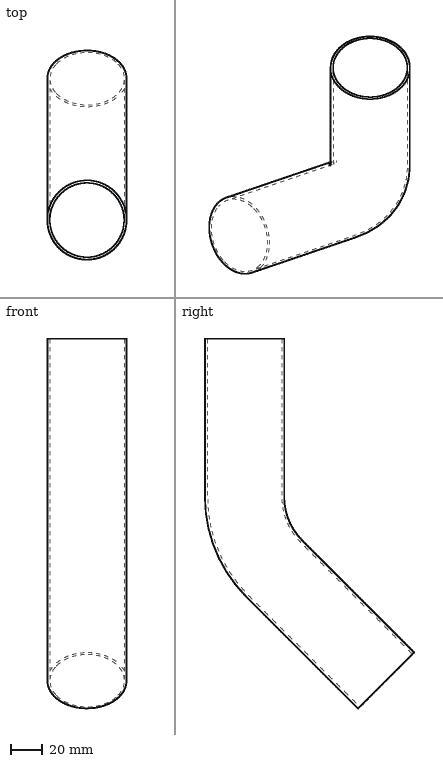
import cadquery as cq
import math

outer_diameter = 50.8
inner_diameter = 47.5
overall_height = 236.3
bend_radius = 64.7
bend_angle = 45.0
slope = math.radians(bend_angle)

leg_length = (
    overall_height - (bend_radius + outer_diameter / 2) * math.sin(slope)
) / (1 + math.cos(slope))


def bend_point(angle):
    """Centreline (Y, Z) point at an angle in degrees along the bend from its upper end."""
    turn = math.radians(angle)
    return (bend_radius * (1 - math.cos(turn)), -bend_radius * math.sin(turn))


bend_end = bend_point(bend_angle)
lower_end = (
    bend_end[0] + leg_length * math.sin(slope),
    bend_end[1] - leg_length * math.cos(slope),
)
centreline = (
    cq.Workplane("YZ")
    .moveTo(0, leg_length)
    .lineTo(0, 0)
    .threePointArc(bend_point(bend_angle / 2), bend_end)
    .lineTo(*lower_end)
)

result = (
    cq.Workplane("XY", origin=(0, 0, leg_length))
    .circle(outer_diameter / 2)
    .circle(inner_diameter / 2)
    .sweep(centreline)
)